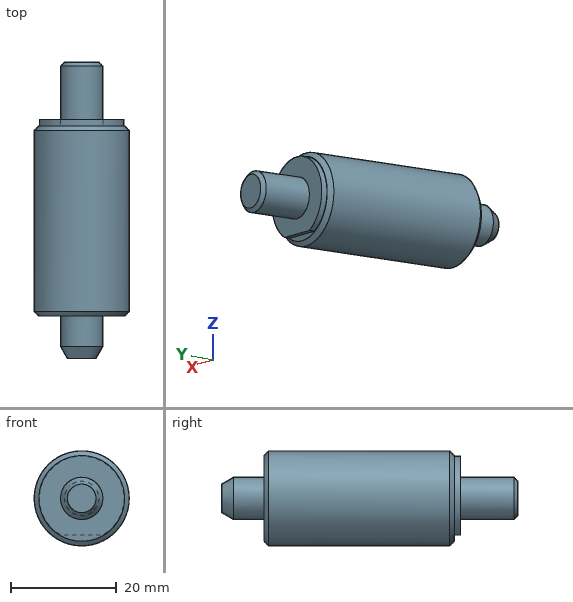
import cadquery as cq
import math

overall_length = 56.01

body_radius = 9.0
body_length = 36.0
body_chamfer = 0.9

pin_radius = 4.0
front_pin_length = 8.0
front_taper_length = 2.25
front_taper_angle = 30.0
rear_pin_chamfer = 0.75

collar_radius = 8.0
collar_thickness = 1.2
collar_flat_width = 2 * pin_radius

front_end = -front_pin_length
rear_end = front_end + overall_length
collar_end = body_length + collar_thickness
front_tip_radius = pin_radius - front_taper_length * math.tan(math.radians(front_taper_angle))
collar_flat_z = -math.sqrt(collar_radius**2 - (collar_flat_width / 2) ** 2)


def make_turned_core():
    """Body and both pins, revolved about the Y axis from a (radius, Y) profile."""
    profile = [
        (0, front_end),
        (front_tip_radius, front_end),
        (pin_radius, front_end + front_taper_length),
        (pin_radius, 0),
        (body_radius - body_chamfer, 0),
        (body_radius, body_chamfer),
        (body_radius, body_length - body_chamfer),
        (body_radius - body_chamfer, body_length),
        (pin_radius, body_length),
        (pin_radius, rear_end - rear_pin_chamfer),
        (pin_radius - rear_pin_chamfer, rear_end),
        (0, rear_end),
    ]
    return cq.Workplane("XY").polyline(profile).close().revolve(360, (0, 0, 0), (0, 1, 0))


def make_collar():
    """Thin disc behind the body with one flat facing down (-Z)."""
    half_flat = collar_flat_width / 2
    return (
        cq.Workplane("XZ", origin=(0, collar_end, 0))
        .moveTo(-half_flat, collar_flat_z)
        .threePointArc((0, collar_radius), (half_flat, collar_flat_z))
        .close()
        .extrude(collar_thickness)
    )


result = make_turned_core().union(make_collar())